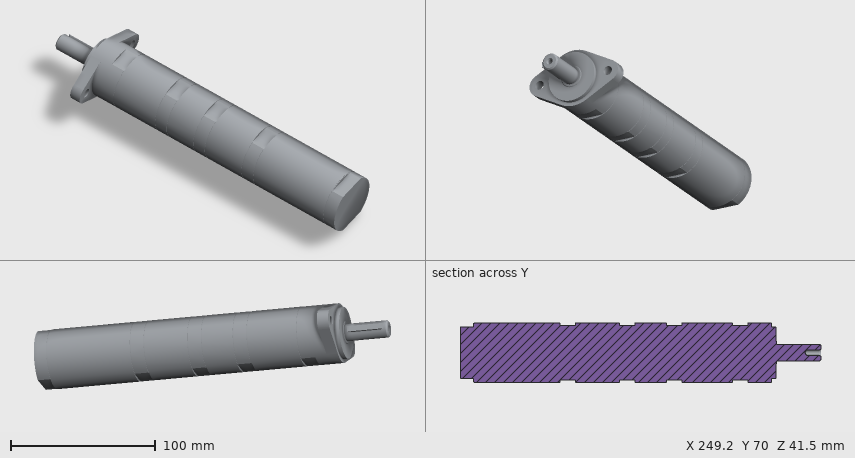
import cadquery as cq
import math

COLLAR_START = 30.45
PILOT_START = 31.0
FLANGE_START = 34.2
FLANGE_END = 42.3
HOUSING_END = 249.2

BODY_DIAMETER = 41.5
PILOT_DIAMETER = 36.0
COLLAR_DIAMETER = 16.0
COLLAR_TIP_DIAMETER = 14.95
SHAFT_DIAMETER = 12.0
SHAFT_CHAMFER = 1.0

LOBE_RADIUS = 8.0
BOLT_OFFSET = 27.0
BOLT_HOLE_DIAMETER = 6.5

CENTRE_HOLE_DIAMETER = 3.24
CENTRE_HOLE_DEPTH = 10.0
CENTRE_MOUTH_DIAMETER = 4.8
CENTRE_MOUTH_ANGLE = 60.0
DRILL_POINT_ANGLE = 118.0

KEY_START = 2.5
KEY_LENGTH = 25.7
KEY_WIDTH = 4.0
KEY_HEIGHT = 4.0
KEY_TOP = 7.5
KEY_CUTTER_DIAMETER = 23.0

FLAT_LENGTH = 10.4
FLAT_ACROSS = 38.0
FLAT_BANDS = [(50.7, False), (96.2, True), (128.8, True), (170.0, True)]
GROOVE_WIDTH = 0.5
GROOVE_DIAMETER = 41.0

END_FLAT_LENGTH = 9.0
END_FLAT_ACROSS = 36.0


def cylinder(diameter, start, end):
    return cq.Workplane("YZ", origin=(start, 0, 0)).circle(diameter / 2).extrude(end - start)


def make_shaft():
    shaft = cylinder(SHAFT_DIAMETER, 0, FLANGE_START)
    return shaft.faces("<X").chamfer(SHAFT_CHAMFER)


def make_collar():
    collar = cylinder(COLLAR_DIAMETER, COLLAR_START, FLANGE_START)
    bevel = (COLLAR_DIAMETER - COLLAR_TIP_DIAMETER) / 2
    return collar.faces("<X").chamfer(bevel)


def make_key():
    radius = KEY_CUTTER_DIAMETER / 2
    bottom = KEY_TOP - KEY_HEIGHT

    def inset_at(height):
        return math.sqrt(radius**2 - (radius - height) ** 2)

    reach = inset_at(KEY_HEIGHT)
    middle_height = KEY_HEIGHT / 2
    middle_inset = reach - inset_at(middle_height)
    key_end = KEY_START + KEY_LENGTH
    return (
        cq.Workplane("XY", origin=(0, 0, -KEY_WIDTH / 2))
        .moveTo(KEY_START, KEY_TOP)
        .threePointArc((KEY_START + middle_inset, bottom + middle_height), (KEY_START + reach, bottom))
        .lineTo(key_end - reach, bottom)
        .threePointArc((key_end - middle_inset, bottom + middle_height), (key_end, KEY_TOP))
        .close()
        .extrude(KEY_WIDTH)
    )


def make_flange_ears():
    """Ears whose straight sides are tangent to both the body circle and the lobes."""
    body_radius = BODY_DIAMETER / 2
    lean = (body_radius - LOBE_RADIUS) / BOLT_OFFSET
    rise = math.sqrt(1 - lean**2)
    body_y = body_radius * lean
    body_z = body_radius * rise
    lobe_y = BOLT_OFFSET + LOBE_RADIUS * lean
    lobe_z = LOBE_RADIUS * rise
    tip_y = BOLT_OFFSET + LOBE_RADIUS
    return (
        cq.Workplane("YZ", origin=(FLANGE_START, 0, 0))
        .moveTo(-body_y, body_z)
        .lineTo(body_y, body_z)
        .lineTo(lobe_y, lobe_z)
        .threePointArc((tip_y, 0), (lobe_y, -lobe_z))
        .lineTo(body_y, -body_z)
        .lineTo(-body_y, -body_z)
        .lineTo(-lobe_y, -lobe_z)
        .threePointArc((-tip_y, 0), (-lobe_y, lobe_z))
        .close()
        .extrude(FLANGE_END - FLANGE_START)
    )


def make_bolt_holes():
    return (
        cq.Workplane("YZ", origin=(FLANGE_START, 0, 0))
        .pushPoints([(-BOLT_OFFSET, 0), (BOLT_OFFSET, 0)])
        .circle(BOLT_HOLE_DIAMETER / 2)
        .extrude(FLANGE_END - FLANGE_START)
    )


def make_centre_hole():
    bore = CENTRE_HOLE_DIAMETER / 2
    mouth = CENTRE_MOUTH_DIAMETER / 2
    mouth_depth = (mouth - bore) / math.tan(math.radians(CENTRE_MOUTH_ANGLE / 2))
    point_depth = bore / math.tan(math.radians(DRILL_POINT_ANGLE / 2))
    return (
        cq.Workplane("XY")
        .polyline([
            (0, 0),
            (0, mouth),
            (mouth_depth, bore),
            (CENTRE_HOLE_DEPTH, bore),
            (CENTRE_HOLE_DEPTH + point_depth, 0),
        ])
        .close()
        .revolve(360, (0, 0, 0), (1, 0, 0))
    )


def flats_cutter(start, length, across):
    """Two slabs that leave flats on the top and bottom of the housing."""
    slab_height = BODY_DIAMETER
    slab_centre = (across + slab_height) / 2
    return (
        cq.Workplane("YZ", origin=(start, 0, 0))
        .pushPoints([(0, slab_centre), (0, -slab_centre)])
        .rect(2 * BODY_DIAMETER, slab_height)
        .extrude(length)
    )


def groove_cutter(start):
    """Thin ring that turns the housing down to the groove diameter."""
    end = start + GROOVE_WIDTH
    return cylinder(BODY_DIAMETER, start, end).cut(cylinder(GROOVE_DIAMETER, start, end))


def make_housing():
    housing = cylinder(BODY_DIAMETER, FLANGE_START, HOUSING_END)
    for start, grooved_start in FLAT_BANDS:
        housing = housing.cut(flats_cutter(start, FLAT_LENGTH, FLAT_ACROSS))
        housing = housing.cut(groove_cutter(start + FLAT_LENGTH - GROOVE_WIDTH))
        if grooved_start:
            housing = housing.cut(groove_cutter(start))
    end_flat_start = HOUSING_END - END_FLAT_LENGTH
    housing = housing.cut(flats_cutter(end_flat_start, END_FLAT_LENGTH, END_FLAT_ACROSS))
    return housing.cut(groove_cutter(end_flat_start - GROOVE_WIDTH))


result = (
    make_housing()
    .union(make_flange_ears())
    .union(cylinder(PILOT_DIAMETER, PILOT_START, FLANGE_START))
    .union(make_collar())
    .union(make_shaft())
    .union(make_key())
    .cut(make_bolt_holes())
    .cut(make_centre_hole())
)